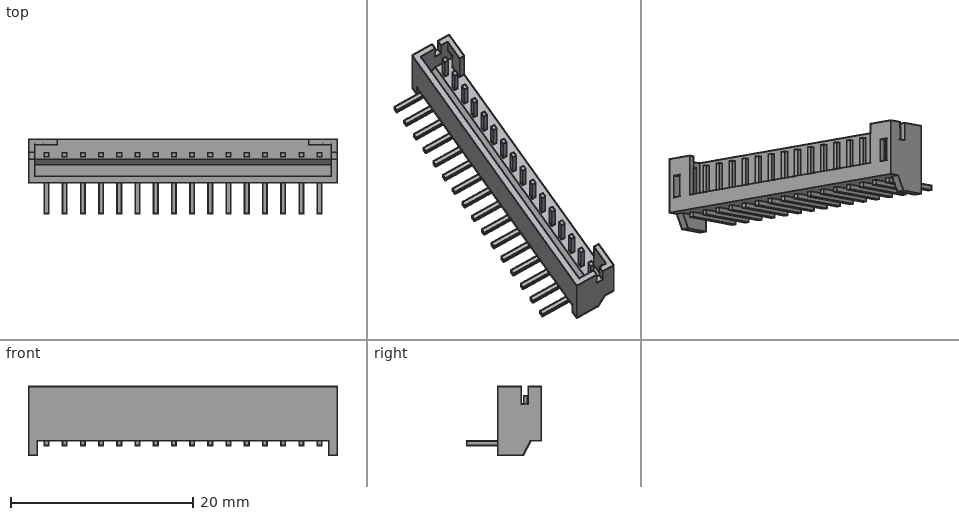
import cadquery as cq


length = 33.9
depth = 4.8
height = 7.6
underside_z = 1.6
side_wall = 0.65
front_wall = 0.7
back_wall = 0.6
tab_length = 3.12

front_floor_z = 2.6
ramp_start_y = 2.0
ramp_run = 0.6
ramp_end_y = ramp_start_y + ramp_run
rear_floor_z = front_floor_z + ramp_run

slot_width = 0.75
slot_depth = 1.93
slot_floor_z = height - slot_depth
window_width = 0.95

foot_width = 0.95
foot_base_depth = 2.8
foot_top_depth = 3.65

pin_count = 16
pin_pitch = 2.0
pin_size = 0.5
pin_center_y = 3.1
pin_leg_depth = 0.45
pin_top_z = 6.58
pin_reach = 3.4


def box(x_range, y_range, z_range):
    """Box spanning the given (low, high) ranges."""
    sizes = [high - low for low, high in (x_range, y_range, z_range)]
    corner = (x_range[0], y_range[0], z_range[0])
    return cq.Workplane("XY").box(*sizes, centered=False).translate(corner)


def along_x(points, x_start, x_end):
    """Extrude a closed (y, z) outline from x_start to x_end."""
    return cq.Workplane("YZ").workplane(offset=x_start).polyline(points).close().extrude(x_end - x_start)


def make_body():
    """End profile with sloped feet, relieved between the feet."""
    profile = [
        (0, 0),
        (foot_base_depth, 0),
        (foot_top_depth, underside_z),
        (depth, underside_z),
        (depth, height),
        (0, height),
    ]
    relief = box((foot_width, length - foot_width), (0, depth), (0, underside_z))
    return along_x(profile, 0, length).cut(relief)


def make_cavity():
    """Open-topped cavity with the stepped and ramped floor."""
    profile = [
        (front_wall, front_floor_z),
        (ramp_start_y, front_floor_z),
        (ramp_end_y, rear_floor_z),
        (depth - back_wall, rear_floor_z),
        (depth - back_wall, height),
        (front_wall, height),
    ]
    return along_x(profile, side_wall, length - side_wall)


def make_back_opening():
    """Gap in the back wall between the two end tabs."""
    return box((tab_length, length - tab_length), (depth - back_wall, depth), (rear_floor_z, height))


def make_side_slots():
    """Slot cut down from the top through both side walls."""
    return box((0, length), (ramp_end_y, ramp_end_y + slot_width), (slot_floor_z, height))


def make_tab_window(x_start):
    """Opening through a back tab, from the rear floor up to the level of the slot floor."""
    return box((x_start, x_start + window_width), (depth - back_wall, depth), (rear_floor_z, slot_floor_z))


def make_pin(x_center):
    """L-shaped pin with its tail flush against the housing underside."""
    half = pin_size / 2
    y_front = pin_center_y - pin_leg_depth / 2
    y_back = pin_center_y + pin_leg_depth / 2
    tail_z = underside_z - pin_size
    profile = [
        (-pin_reach, tail_z),
        (y_back, tail_z),
        (y_back, pin_top_z),
        (y_front, pin_top_z),
        (y_front, underside_z),
        (-pin_reach, underside_z),
    ]
    return along_x(profile, x_center - half, x_center + half)


result = make_body().cut(make_cavity()).cut(make_back_opening()).cut(make_side_slots())

for window_x in (side_wall, length - side_wall - window_width):
    result = result.cut(make_tab_window(window_x))

first_pin_x = (length - (pin_count - 1) * pin_pitch) / 2
for index in range(pin_count):
    result = result.union(make_pin(first_pin_x + index * pin_pitch))